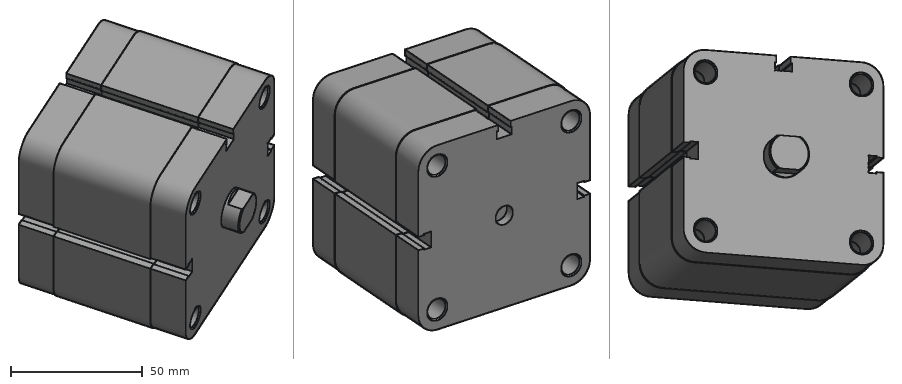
import cadquery as cq

cap_length = 14.7
barrel_length = 40.6
body_length = 2 * cap_length + barrel_length
overall_length = 77.5
rod_length = overall_length - body_length

barrel_side = 80.0
barrel_corner_radius = 9.0
cap_inset = 0.28

slot_mouth_width = 5.2
slot_lip_depth = 3.0
slot_depth = 6.2
slot_undercut_width = 6.2
slot_angles = (0, 90, 270)

bolt_spacing = 62.0
bolt_hole_diameter = 8.3
bolt_chamfer = 0.6

centre_hole_diameter = 8.0
centre_hole_depth = 4.0

rod_diameter = 16.0
rod_chamfer = 0.5
rod_flat_width = 13.0
rod_collar_length = 1.4
rod_shoulder_lean = 0.5


def profile_plane(x):
    """Plane at x that faces +X, with local x along Y and local y along Z."""
    return cq.Workplane("YZ", origin=(x, 0, 0))


def t_slots(x, length, inset):
    """Cutter for the T-slots along X in three of the sides, each slot wall moved out by inset."""
    half_side = barrel_side / 2
    mouth = (
        profile_plane(x)
        .center(0, half_side - slot_depth / 2)
        .rect(slot_mouth_width + 2 * inset, slot_depth)
        .extrude(length)
    )
    undercut_height = slot_depth - slot_lip_depth
    undercut = (
        profile_plane(x)
        .center(0, half_side - slot_depth + undercut_height / 2)
        .rect(slot_undercut_width + 2 * inset, undercut_height)
        .extrude(length)
    )
    slot = mouth.union(undercut)
    cutters = cq.Workplane()
    for angle in slot_angles:
        cutters = cutters.add(slot.rotate((0, 0, 0), (1, 0, 0), angle))
    return cutters.combine()


def section(x, length, inset=0):
    """Rounded square block with T-slots and through bolt holes, its sides moved in by inset."""
    side = barrel_side - 2 * inset
    block = profile_plane(x).rect(side, side).extrude(length).edges("|X").fillet(barrel_corner_radius - inset)
    bolt_holes = (
        profile_plane(x)
        .rect(bolt_spacing, bolt_spacing, forConstruction=True)
        .vertices()
        .circle(bolt_hole_diameter / 2)
        .extrude(length)
    )
    return block.cut(t_slots(x, length, inset)).cut(bolt_holes)


def end_cap(x, outer_face):
    """Cap with the bolt hole mouths chamfered on its outer face."""
    cap = section(x, cap_length, cap_inset)
    bolt_mouths = cap.faces(outer_face).edges(cq.selectors.RadiusNthSelector(0))
    return bolt_mouths.chamfer(bolt_chamfer)


def make_rear_cap():
    centre_hole = profile_plane(0).circle(centre_hole_diameter / 2).extrude(centre_hole_depth)
    return end_cap(0, "<X").cut(centre_hole)


def make_barrel():
    return section(cap_length, barrel_length)


def make_front_cap():
    return end_cap(cap_length + barrel_length, ">X")


def make_rod():
    """Round rod end with two flats that face +Z and -Z."""
    rod = (
        profile_plane(body_length)
        .circle(rod_diameter / 2)
        .extrude(rod_length)
        .faces(">X")
        .chamfer(rod_chamfer)
    )
    flat_height = rod_flat_width / 2
    top_height = rod_diameter / 2
    shoulder_foot = body_length + rod_collar_length
    flat_cutter = (
        cq.Workplane("XZ")
        .moveTo(shoulder_foot - rod_shoulder_lean, top_height)
        .lineTo(shoulder_foot, flat_height)
        .lineTo(overall_length, flat_height)
        .lineTo(overall_length, top_height)
        .close()
        .extrude(rod_diameter / 2, both=True)
    )
    return rod.cut(flat_cutter).cut(flat_cutter.mirror("XY"))


rear_cap = make_rear_cap()
barrel = make_barrel()
front_cap = make_front_cap()
rod = make_rod()

result = cq.Compound.makeCompound([rear_cap.val(), barrel.val(), front_cap.val(), rod.val()])